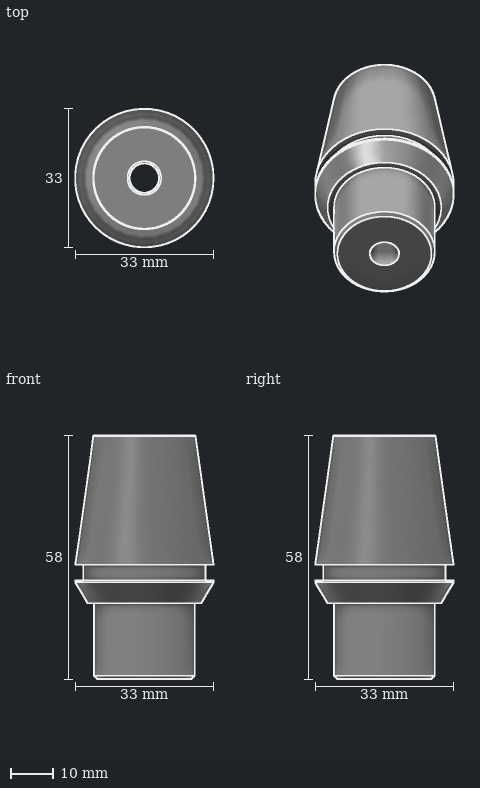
import cadquery as cq
import math

total_height = 58.0

shank_radius = 12.0
shank_height = 18.0
shank_chamfer = 0.8

collet_radius = 16.5
groove_radius = 14.55
flange_bottom_radius = 13.5
flange_height = 5.5
flange_rim = 0.5
groove_width = 3.65
taper_angle = 8.0
top_chamfer_height = 0.3
top_chamfer_width = 0.2

bore_radius = 3.5
countersink_radius = 4.0
countersink_depth = 0.8

flange_top = shank_height + flange_height
taper_bottom = flange_top + groove_width
taper_top = total_height - top_chamfer_height
taper_top_radius = collet_radius - (taper_top - taper_bottom) * math.tan(math.radians(taper_angle))


def revolve_profile(points):
    """Revolve a closed (radius, height) outline about the Z axis."""
    return cq.Workplane("XZ").polyline(points).close().revolve(360, (0, 0, 0), (0, 1, 0))


def make_shank():
    """Hollow cylindrical shank with a chamfered lower edge."""
    return revolve_profile([
        (bore_radius, 0),
        (shank_radius - shank_chamfer, 0),
        (shank_radius, shank_chamfer),
        (shank_radius, shank_height),
        (bore_radius, shank_height),
    ])


def make_collet():
    """Tapered collet with a groove above its conical flange and a countersunk bore."""
    return revolve_profile([
        (bore_radius, shank_height),
        (flange_bottom_radius, shank_height),
        (collet_radius, flange_top - flange_rim),
        (collet_radius, flange_top),
        (groove_radius, flange_top),
        (groove_radius, taper_bottom),
        (collet_radius, taper_bottom),
        (taper_top_radius, taper_top),
        (taper_top_radius - top_chamfer_width, total_height),
        (countersink_radius, total_height),
        (bore_radius, total_height - countersink_depth),
    ])


shank = make_shank()
collet = make_collet()

result = cq.Compound.makeCompound([shank.val(), collet.val()])